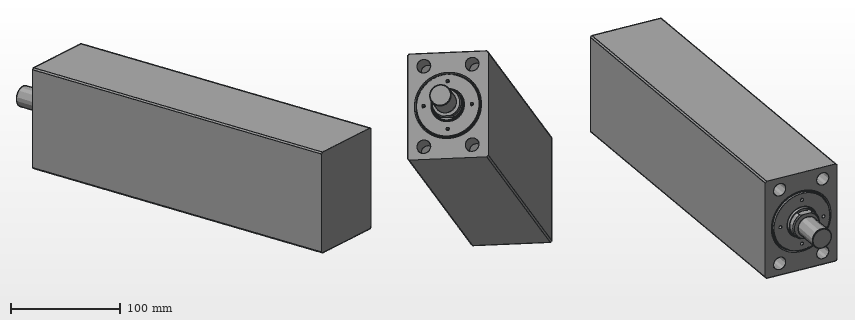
import cadquery as cq
import math

TOTAL_LENGTH = 372.0
ROD_PROJECTION = 39.8
HOUSING_LENGTH = TOTAL_LENGTH - ROD_PROJECTION
HOUSING_WIDTH = 75.0
HOUSING_HEIGHT = 100.0
HOUSING_CHAMFER = 1.5

MOUNT_SPACING_Y = 45.0
MOUNT_SPACING_Z = 76.0
MOUNT_DIAMETER = 12.5
MOUNT_DEPTH = 22.5
DRILL_POINT_ANGLE = 118.0

GLAND_DIAMETER = 60.3
GLAND_RIM_DIAMETER = 58.5
GLAND_BORE_CHAMFER = 1.0
GLAND_PROJECTION = 1.5
GLAND_DEPTH = 29.8
SPANNER_CIRCLE_DIAMETER = 45.0
SPANNER_HOLE_DIAMETER = 3.0
SPANNER_HOLE_DEPTH = 5.5

WIPER_DIAMETER = 29.0
WIPER_BORE_CHAMFER = 1.0
WIPER_PROJECTION = 3.7
WIPER_DEPTH = 4.5

TIP_DIAMETER = 20.0
TIP_LENGTH = 27.5
TIP_CHAMFER = 0.55
NECK_DIAMETER = 17.5
NECK_LENGTH = 2.0
COLLAR_DIAMETER = 28.0
COLLAR_CHAMFER = 1.0
FLATS_ACROSS = 24.5
SHAFT_DIAMETER = 24.5


def cylinder(diameter, start, end):
    """Solid cylinder on the X axis between two X positions."""
    return cq.Workplane("YZ").workplane(offset=start).circle(diameter / 2).extrude(end - start)


def countersink(bore_diameter, chamfer, start):
    """Cutter for a 45 degree chamfer on the mouth of a bore that opens toward -X."""
    radius = bore_diameter / 2
    profile = [(0, 0), (0, radius + chamfer), (chamfer, radius), (chamfer, 0)]
    cone = cq.Workplane("XY").polyline(profile).close().revolve(360, (0, 0, 0), (1, 0, 0))
    return cone.translate((start, 0, 0))


def drilled_hole(diameter, depth, start, y, z):
    """Cutter for a blind hole along +X with a conical drill point."""
    radius = diameter / 2
    point_length = radius / math.tan(math.radians(DRILL_POINT_ANGLE / 2))
    profile = [(0, 0), (depth + point_length, 0), (depth, radius), (0, radius)]
    hole = cq.Workplane("XY").polyline(profile).close().revolve(360, (0, 0, 0), (1, 0, 0))
    return hole.translate((start, y, z))


def make_housing():
    housing = cq.Workplane("XY").box(
        HOUSING_LENGTH, HOUSING_WIDTH, HOUSING_HEIGHT, centered=(False, True, True)
    )
    housing = housing.edges("|X").chamfer(HOUSING_CHAMFER)
    for y in (-MOUNT_SPACING_Y / 2, MOUNT_SPACING_Y / 2):
        for z in (-MOUNT_SPACING_Z / 2, MOUNT_SPACING_Z / 2):
            housing = housing.cut(drilled_hole(MOUNT_DIAMETER, MOUNT_DEPTH, 0, y, z))
    housing = housing.cut(cylinder(GLAND_DIAMETER, 0, GLAND_DEPTH))
    return housing.cut(countersink(GLAND_DIAMETER, GLAND_BORE_CHAMFER, 0))


def make_gland():
    gland = cylinder(GLAND_DIAMETER, GLAND_BORE_CHAMFER, GLAND_DEPTH)
    gland = gland.union(cylinder(GLAND_RIM_DIAMETER, -GLAND_PROJECTION, GLAND_BORE_CHAMFER))
    radius = SPANNER_CIRCLE_DIAMETER / 2
    for y, z in ((radius, 0), (0, radius), (-radius, 0), (0, -radius)):
        gland = gland.cut(
            drilled_hole(SPANNER_HOLE_DIAMETER, SPANNER_HOLE_DEPTH, -GLAND_PROJECTION, y, z)
        )
    gland = gland.cut(cylinder(WIPER_DIAMETER, -GLAND_PROJECTION, WIPER_DEPTH))
    gland = gland.cut(countersink(WIPER_DIAMETER, WIPER_BORE_CHAMFER, -GLAND_PROJECTION))
    return gland.cut(cylinder(SHAFT_DIAMETER, WIPER_DEPTH, GLAND_DEPTH))


def make_wiper():
    wiper = cylinder(WIPER_DIAMETER, -WIPER_PROJECTION, WIPER_DEPTH)
    return wiper.cut(cylinder(SHAFT_DIAMETER, -WIPER_PROJECTION, WIPER_DEPTH))


def make_rod():
    tip_end = TIP_LENGTH - ROD_PROJECTION
    collar_start = tip_end + NECK_LENGTH
    collar_end = -WIPER_PROJECTION
    collar = cylinder(COLLAR_DIAMETER, collar_start, collar_end).faces("<X").chamfer(COLLAR_CHAMFER)
    flats = cq.Workplane("XY").box(2 * ROD_PROJECTION, COLLAR_DIAMETER, FLATS_ACROSS)
    collar = collar.intersect(flats)
    shaft = cylinder(SHAFT_DIAMETER, collar_end, GLAND_DEPTH)
    tip = cylinder(TIP_DIAMETER, -ROD_PROJECTION, tip_end).faces("<X").chamfer(TIP_CHAMFER)
    neck = cylinder(NECK_DIAMETER, tip_end, collar_start)
    return tip.union(neck).union(collar).union(shaft)


housing = make_housing()
gland = make_gland()
wiper = make_wiper()
rod = make_rod()

result = cq.Compound.makeCompound([housing.val(), gland.val(), wiper.val(), rod.val()])